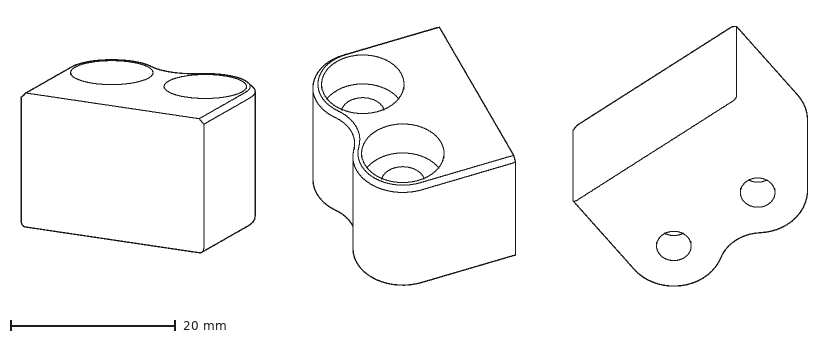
import cadquery as cq
import math

width = 24.9
depth = 18.4
height = 17.02

bore_spacing = 12.75
lobe_radius = (width - bore_spacing) / 2
valley_radius = 5.33

top_chamfer = 0.62
bottom_fillet = 0.62

counterbore_diameter = 10.0
counterbore_depth = 5.0
clearance_diameter = 5.3
through_diameter = 4.2
drill_point_angle = 118.0

clearance_depth = (height + counterbore_depth) / 2

bore_x = bore_spacing / 2
back_y = lobe_radius - depth

centre_distance = lobe_radius + valley_radius
valley_y = math.sqrt(centre_distance**2 - bore_x**2)
valley_bottom_y = valley_y - valley_radius
tangent_x = bore_x * valley_radius / centre_distance
tangent_y = valley_y * lobe_radius / centre_distance


def make_block():
    """Two-lobed prism with a chamfered top rim and a rounded bottom rim."""
    block = (
        cq.Workplane("XY")
        .moveTo(-width / 2, back_y)
        .lineTo(width / 2, back_y)
        .lineTo(width / 2, 0)
        .threePointArc((bore_x, lobe_radius), (tangent_x, tangent_y))
        .threePointArc((0, valley_bottom_y), (-tangent_x, tangent_y))
        .threePointArc((-bore_x, lobe_radius), (-width / 2, 0))
        .close()
        .extrude(height)
    )
    block = block.faces(">Z").edges("not <Y").chamfer(top_chamfer)
    return block.faces("<Z").edges("not <Y").fillet(bottom_fillet)


def make_screw_hole():
    """Solid of revolution removed for one screw, with its axis along Z and its top at z = height."""
    counterbore_radius = counterbore_diameter / 2
    clearance_radius = clearance_diameter / 2
    through_radius = through_diameter / 2
    counterbore_z = height - counterbore_depth
    cone_top_z = height - clearance_depth
    half_angle = math.radians(drill_point_angle / 2)
    cone_bottom_z = cone_top_z - (clearance_radius - through_radius) / math.tan(half_angle)
    profile = [
        (0, 0),
        (through_radius, 0),
        (through_radius, cone_bottom_z),
        (clearance_radius, cone_top_z),
        (clearance_radius, counterbore_z),
        (counterbore_radius, counterbore_z),
        (counterbore_radius, height),
        (0, height),
    ]
    return cq.Workplane("XZ").polyline(profile).close().revolve(360, (0, 0), (0, 1))


screw_hole = make_screw_hole()
result = make_block()
for x in (-bore_x, bore_x):
    result = result.cut(screw_hole.translate((x, 0, 0)))